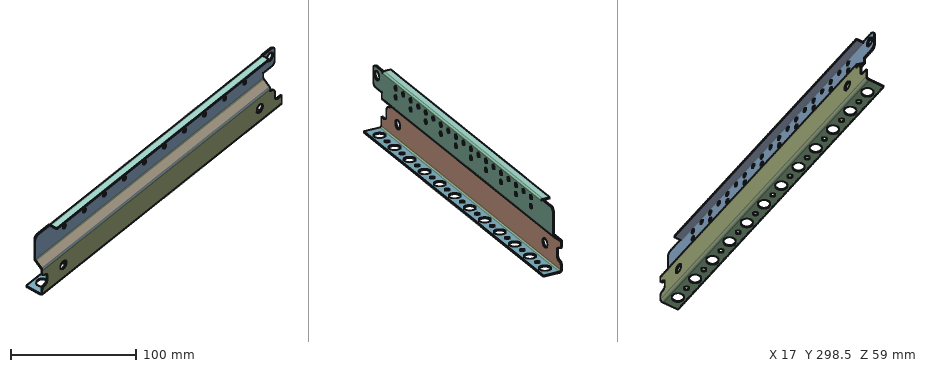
import cadquery as cq
import math

length = 298.5
width = 17.0
height = 59.0
half_length = length / 2

sheet = 1.35
upper_inside_radius = 0.15
upper_outside_radius = upper_inside_radius + sheet
inside_radius = 1.2
outside_radius = inside_radius + sheet

upper_web_x = 8.5
upper_flange_end_x = 16.0
jog_top_z = 34.0
jog_angle = math.radians(50)
lower_web_x = width - sheet
jog_drop = (lower_web_x - upper_web_x) / math.tan(jog_angle)
miter = sheet * math.tan(jog_angle / 2)

flange_start_y = -130.5
flange_end_y = 134.0

tab_root_y = 135.0
tab_bottom_z = 40.0
tab_corner_radius = 4.0
tab_hole_y = 143.3
tab_hole_z = 51.3

ledge_z = 24.8
ledge_end_y = 141.0
ledge_corner_radius = 5.7
foot_z = 10.5
foot_corner_radius = 3.5
end_notch_z = 15.0
end_notch_half_height = 5.7
end_notch_depth = 6.3
end_notch_mouth_radius = 3.0
end_notch_inner_radius = 3.0

pattern_centre_y = -0.5
mounting_hole_diameter = 8.0
mounting_hole_spacing = 244.8
mounting_hole_z = 15.2
pin_hole_diameter = 4.0
upper_pin_z = 53.5
lower_pin_z = 45.5
lower_pin_count = 10
upper_pin_count = 2 * lower_pin_count - 1
floor_hole_x = 7.5
floor_hole_diameter = 9.9
floor_hole_count = 12
floor_row_length = 275.0
pitch = floor_row_length / (floor_hole_count - 1)
floor_pin_count = floor_hole_count - 1
floor_pin_diameter = 4.2


def rounded_outline(plane, corners):
    """Closed outline through (u, v, radius) corners; radius 0 keeps a corner sharp."""
    outline = None
    for index, (u, v, radius) in enumerate(corners):
        corner = cq.Vector(u, v)
        before = cq.Vector(*corners[index - 1][:2])
        after = cq.Vector(*corners[(index + 1) % len(corners)][:2])
        to_before = (before - corner).normalized()
        to_after = (after - corner).normalized()
        half_angle = to_before.getAngle(to_after) / 2
        tangent_length = radius / math.tan(half_angle)
        start = corner + to_before * tangent_length
        if outline is None:
            outline = cq.Workplane(plane).moveTo(start.x, start.y)
        else:
            outline = outline.lineTo(start.x, start.y)
        if radius > 0:
            bisector = (to_before + to_after).normalized()
            middle = corner + bisector * (radius / math.sin(half_angle) - radius)
            end = corner + to_after * tangent_length
            outline = outline.threePointArc((middle.x, middle.y), (end.x, end.y))
    return outline.close()


def folded_sheet(start_y, end_y, with_flange):
    """A stretch of the folded rail between two places along Y."""
    jog_bottom_z = jog_top_z - jog_drop
    upper_inner_x = upper_web_x + sheet
    corners = [
        (0, 0, 0),
        (width, 0, outside_radius),
        (width, jog_bottom_z + miter, outside_radius),
        (upper_inner_x, jog_top_z + miter, inside_radius),
    ]
    if with_flange:
        corners += [
            (upper_inner_x, height - sheet, upper_inside_radius),
            (upper_flange_end_x, height - sheet, 0),
            (upper_flange_end_x, height, 0),
            (upper_web_x, height, upper_outside_radius),
        ]
    else:
        corners += [(upper_inner_x, height, 0), (upper_web_x, height, 0)]
    corners += [
        (upper_web_x, jog_top_z, outside_radius),
        (lower_web_x, jog_bottom_z, inside_radius),
        (lower_web_x, sheet, inside_radius),
        (0, sheet, 0),
    ]
    section = rounded_outline(cq.Plane.XZ(origin=(0, start_y, 0)), corners)
    return section.extrude(start_y - end_y)


def side_envelope():
    """Solid across the full width that gives both rail ends their shape."""
    notch_floor_y = -half_length + end_notch_depth
    notch_low_z = end_notch_z - end_notch_half_height
    notch_high_z = end_notch_z + end_notch_half_height
    corners = [
        (-half_length, 0, 0),
        (half_length, 0, 0),
        (half_length, foot_z, 0),
        (ledge_end_y, foot_z, foot_corner_radius),
        (ledge_end_y, ledge_z, ledge_corner_radius),
        (tab_root_y, ledge_z, 0),
        (tab_root_y, tab_bottom_z, 0),
        (half_length, tab_bottom_z, tab_corner_radius),
        (half_length, height, tab_corner_radius),
        (-half_length, height, tab_corner_radius),
        (-half_length, notch_high_z, end_notch_mouth_radius),
        (notch_floor_y, notch_high_z, end_notch_inner_radius),
        (notch_floor_y, notch_low_z, end_notch_inner_radius),
        (-half_length, notch_low_z, end_notch_mouth_radius),
    ]
    return rounded_outline("YZ", corners).extrude(width)


def row(count, spacing, across):
    """Points (y, across) of a row centred on the hole pattern."""
    first = pattern_centre_y - (count - 1) * spacing / 2
    return [(first + index * spacing, across) for index in range(count)]


def web_holes(points, diameter):
    """Cylinders along X at (y, z) points."""
    return cq.Workplane("YZ").pushPoints(points).circle(diameter / 2).extrude(width)


def floor_holes(count, diameter):
    """Cylinders through the bottom flange only, in a row along Y."""
    points = [(x, y) for y, x in row(count, pitch, floor_hole_x)]
    return cq.Workplane("XY").pushPoints(points).circle(diameter / 2).extrude(sheet)


rail = folded_sheet(flange_start_y, flange_end_y, True)
rail = rail.union(folded_sheet(-half_length, flange_start_y, False))
rail = rail.union(folded_sheet(flange_end_y, half_length, False))
rail = rail.intersect(side_envelope())

mounting_points = row(2, mounting_hole_spacing, mounting_hole_z) + [(tab_hole_y, tab_hole_z)]
pin_points = row(upper_pin_count, pitch / 2, upper_pin_z) + row(lower_pin_count, pitch, lower_pin_z)
rail = rail.cut(web_holes(mounting_points, mounting_hole_diameter))
rail = rail.cut(web_holes(pin_points, pin_hole_diameter))
rail = rail.cut(floor_holes(floor_hole_count, floor_hole_diameter))
rail = rail.cut(floor_holes(floor_pin_count, floor_pin_diameter))

result = rail